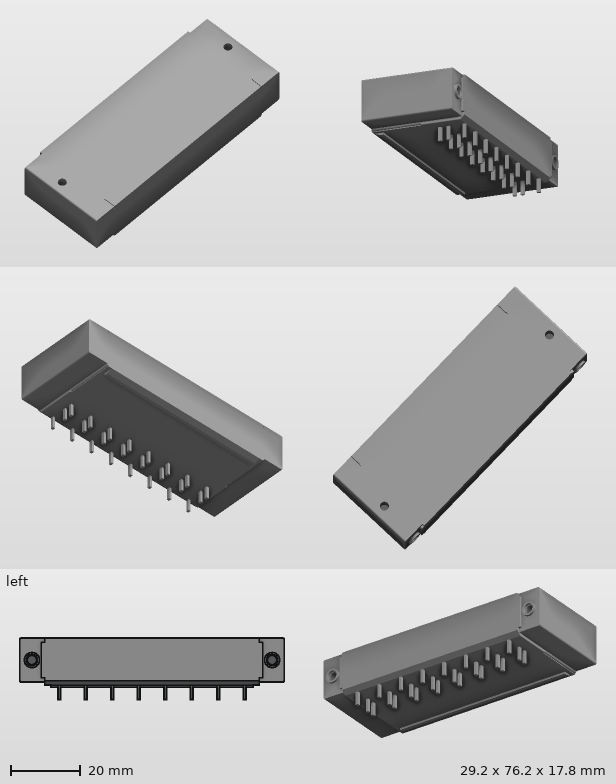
import cadquery as cq
import math

depth = 29.25
overall_length = 76.2
overall_height = 17.77

housing_length = 61.8
housing_height = 13.6
housing_edge_radius = 0.25
lead_in = 1.35
rear_edge_radius = 0.5
rear_edge_start = 13.6
rear_lip = 0.23

block_setback = 0.75
block_height = 12.7
block_edge_radius = 0.5
mount_hole_spacing = 69.0
mount_hole_diameter = 2.6
mount_hole_depth = 5.0
mount_hole_x = 12.25

bushing_spacing = 69.1
bushing_diameter = 4.35
bushing_bore = 3.2
screw_hole_diameter = 2.7
screw_hole_depth = 10.0

tab_length = 0.95
tab_top = 1.2
tab_bottom = 11.45
tab_top_radius = 0.45
tab_bottom_radius = 0.2

slot_length = 3.2
slot_width = 0.2
slot_taper = 0.75
slot_depth = 1.0

rail_length = 58.2
rail_drop = 0.65
rail_depth = 3.1
rail_flat = 1.1

pin_size_x = 1.0
pin_size_y = 0.8
pin_count = 8
pin_pitch = 7.62
first_row_x = 1.82
row_offsets = (0, 5.08, 7.62)
pin_embed = 1.0

half_housing = housing_length / 2
half_length = overall_length / 2
block_start = half_housing - housing_edge_radius
block_length = half_length - block_start
block_depth = depth - block_setback
end_sides = (-1, 1)


def box(size_x, size_y, size_z, x_min, y_mid, z_max):
    """Box located by its lowest X, its middle Y and its top Z."""
    return (
        cq.Workplane("XY")
        .box(size_x, size_y, size_z, centered=(False, True, False))
        .translate((x_min, y_mid, z_max - size_z))
    )


def end_selector(side):
    return ">Y" if side > 0 else "<Y"


def make_rear_edge_cutter(side):
    """Cutter that rounds the rear lower end edge down to a thin inset lip."""
    outer = side * half_housing
    inner = outer - side * rear_edge_radius
    arc_bottom = rear_lip - housing_height
    arc_top = arc_bottom + rear_edge_radius
    diagonal = rear_edge_radius * math.cos(math.pi / 4)
    return (
        cq.Workplane("YZ", origin=(rear_edge_start, 0, 0))
        .moveTo(outer, -housing_height)
        .lineTo(outer, arc_top)
        .threePointArc((inner + side * diagonal, arc_top - diagonal), (inner, arc_bottom))
        .lineTo(inner, -housing_height)
        .close()
        .extrude(depth - rear_edge_start)
    )


def make_housing():
    """Housing with a lead-in bevel below the contact face, softened end edges and rounded rear edges."""
    profile = [
        (0, 0),
        (depth, 0),
        (depth, -housing_height),
        (lead_in, -housing_height),
        (0, lead_in - housing_height),
    ]
    housing = cq.Workplane("XZ").polyline(profile).close().extrude(half_housing, both=True)
    for side in end_sides:
        housing = housing.faces(end_selector(side)).edges("|X").fillet(housing_edge_radius)
        housing = housing.cut(make_rear_edge_cutter(side))
    return housing


def make_end_block(side):
    """End block with rounded outer edges and a blind vertical mounting hole."""
    middle = side * (block_start + block_length / 2)
    block = box(block_depth, block_length, block_height, block_setback, middle, 0)
    block = block.faces(end_selector(side)).edges("|X").fillet(block_edge_radius)
    hole = (
        cq.Workplane("XY")
        .center(mount_hole_x, side * mount_hole_spacing / 2)
        .circle(mount_hole_diameter / 2)
        .extrude(-mount_hole_depth)
    )
    return block.cut(hole)


def make_tab(side):
    """Thin tab on the contact face, reaching over the end block."""
    height = tab_bottom - tab_top
    middle = side * (half_housing + tab_length / 2)
    tab = box(block_setback, tab_length, height, 0, middle, -tab_top)
    tip = end_selector(side)
    tab = tab.faces(tip).edges("|X").edges(">Z").fillet(tab_top_radius)
    return tab.faces(tip).edges("|X").edges("<Z").fillet(tab_bottom_radius)


def bushing_plane(side):
    """Workplane on the contact face, centred on the bushing axis."""
    return cq.Workplane("YZ", origin=(0, side * bushing_spacing / 2, -block_height / 2))


def make_bushing(side):
    """Round bushing standing out from the end block to the contact face."""
    return bushing_plane(side).circle(bushing_diameter / 2).extrude(block_setback)


def make_bushing_bore(side):
    """Bushing bore down to the end block, then a narrower blind screw hole."""
    bore = bushing_plane(side).circle(bushing_bore / 2).extrude(block_setback)
    screw_hole = bushing_plane(side).circle(screw_hole_diameter / 2).extrude(screw_hole_depth)
    return bore.union(screw_hole)


def make_slot(side):
    """Narrow slot whose closed end tapers across the joint line."""
    joint = block_start
    inner = joint - slot_width
    start = depth - slot_length
    outline = [
        (start - slot_taper, side * joint),
        (start - slot_taper, side * (joint + slot_width)),
        (start, side * joint),
        (depth, side * joint),
        (depth, side * inner),
        (start, side * inner),
    ]
    return cq.Workplane("XY").polyline(outline).close().extrude(-slot_depth)


def make_rail():
    """Rail with a flat underside that slopes up to the rear face."""
    start = depth - rail_depth
    profile = [
        (start, -housing_height),
        (start, -housing_height - rail_drop),
        (start + rail_flat, -housing_height - rail_drop),
        (depth, -housing_height),
    ]
    return cq.Workplane("XZ").polyline(profile).close().extrude(rail_length / 2, both=True)


def make_pins():
    """Rows of rectangular pins, rooted inside the housing."""
    pin_length = overall_height - housing_height + pin_embed
    positions = []
    for offset in row_offsets:
        for index in range(pin_count):
            y = (index - (pin_count - 1) / 2) * pin_pitch
            positions.append((first_row_x + offset, y))
    return (
        cq.Workplane("XY", origin=(0, 0, -overall_height))
        .pushPoints(positions)
        .rect(pin_size_x, pin_size_y)
        .extrude(pin_length)
    )


result = make_housing().union(make_rail()).union(make_pins())
for end_side in end_sides:
    result = result.union(make_tab(end_side))

for end_side in end_sides:
    result = result.union(make_end_block(end_side), clean=False)
    result = result.union(make_bushing(end_side), clean=False)
    result = result.cut(make_bushing_bore(end_side), clean=False)
    result = result.cut(make_slot(end_side), clean=False)